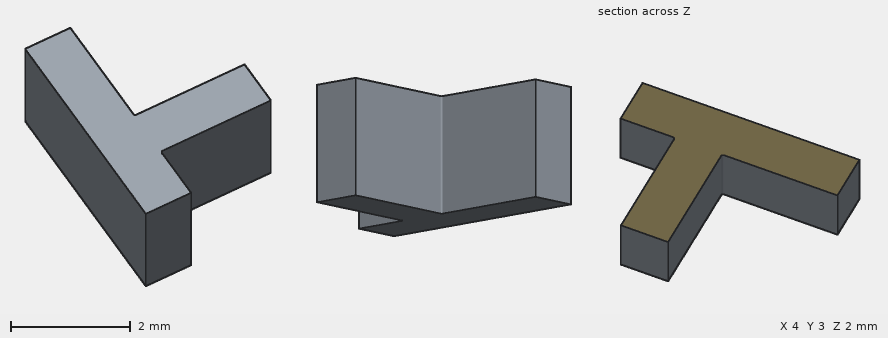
import cadquery as cq

length = 4.0
depth = 3.0
height = 2.0

wall = 0.875
web_right = 3.0
web_left = web_right - wall
root_radius = 0.03


def make_flange():
    return cq.Workplane("XY").box(length, wall, height, centered=False)


def make_web():
    return (
        cq.Workplane("XY")
        .box(wall, depth, height, centered=False)
        .translate((web_left, 0, 0))
    )


def round_roots(body):
    """Fillet the two inside corners where the web meets the flange."""
    for x in (web_left, web_right):
        corner = cq.selectors.NearestToPointSelector((x, wall, height / 2))
        body = body.edges("|Z").edges(corner).fillet(root_radius)
    return body


result = round_roots(make_flange().union(make_web()))